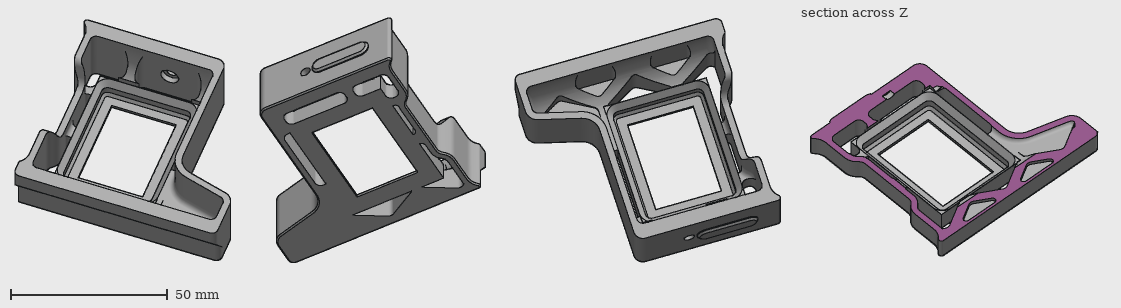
import cadquery as cq
import math

length = 69.0
height = 20.0
back_face = 65.95

end_wall = 5.05
side_wall = 2.3
left_face = 2.0
right_face = 48.2
inner_left = left_face + side_wall
inner_right = right_face - side_wall
inner_far_right = length - side_wall
inner_back = back_face - end_wall
corner_radius = 2.0
back_corner_radius = 3.05
tip_radius = 1.0
tip_blend = 5.05

step_depth = 3.05
step_middle = 35.0
step_half = 13.95
step_outer_radius = 5.45
step_inner_radius = 2.6

slope_angle = math.radians(15)
slope_start = 21.5
slope_inside_radius = 6.0
slope_corner_radius = 4.0

ledge_depth = 3.9
overhang_top = 14.7
overhang_bottom = 9.0
base_chamfer = 0.5

floor_top = 6.5
floor_fillet = 2.0
cove_radius = 11.25
frame_left = 8.75
frame_right = 43.05
frame_front = 13.3
frame_back = 55.95
frame_rim = 0.1
frame_corner = 4.0
upper_bevel = 2.0
lower_bevel = 1.0
frame_base = 1.05
window_length = 21.95
window_width = 30.65

rib_width = 3.05
rib_first = 18.5
rib_pitch = 25.0
rib_places = (rib_first, rib_first + rib_pitch)
left_ribs = ((29.5, 34.0), (47.75, 50.65))
opening_fillet = 2.0
narrow_fillet = 1.3
right_opening_front = 28.85
right_opening_back = 53.1
truss_valley = 7.05
truss_angle = math.radians(30)
truss_pocket_peak = 10.4
truss_pocket_end = 1.0

dip_depth = 8.0
dip_flat_half = 7.7
dip_angle = math.radians(65)
dip_top_radius = 3.05
dip_bottom_radius = 5.0

pad_length = 20.35
pad_height = 6.0
pad_middle = 17.95
pad_depth = 1.05
pad_chamfer = 0.7
hole_across = 30.65
hole_diameter = 3.4
counterbore_diameter = 6.0
counterbore_depth = 2.0

same_point = 0.01


def rounded_outline(corners, plane="XY"):
    """Closed wire through (x, y, radius) corners, each rounded by its radius."""
    stretches = []
    for i, (x, y, radius) in enumerate(corners):
        here = cq.Vector(x, y)
        to_last = (cq.Vector(*corners[i - 1][:2]) - here).normalized()
        to_next = (cq.Vector(*corners[(i + 1) % len(corners)][:2]) - here).normalized()
        half = to_last.getAngle(to_next) / 2
        tangent = radius / math.tan(half)
        bisector = (to_last + to_next).normalized()
        middle = here + bisector * (radius / math.sin(half) - radius)
        stretches.append((here + to_last * tangent, middle, here + to_next * tangent))
    last = stretches[-1][2]
    path = cq.Workplane(plane).moveTo(last.x, last.y)
    for start, middle, end in stretches:
        if (start - last).Length > same_point:
            path = path.lineTo(start.x, start.y)
        else:
            start = last
        if (end - start).Length > same_point:
            path = path.threePointArc((middle.x, middle.y), (end.x, end.y))
        last = end
    return path.close()


def box(x0, x1, y0, y1, z0, z1):
    return cq.Workplane("XY").box(x1 - x0, y1 - y0, z1 - z0, centered=False).translate((x0, y0, z0))


def slope_y(x):
    return slope_start - (x - right_face) * math.tan(slope_angle)


def blend_angle(offset, first_radius, second_radius):
    """Turn of two tangent arcs that join parallel lines the given offset apart."""
    return math.acos(1 - offset / (first_radius + second_radius))


def step_corners(offset):
    """Left wall step from back to front, moved inward by offset."""
    angle = blend_angle(step_depth, step_outer_radius, step_inner_radius)
    ends = step_half + offset * math.tan(angle / 2)
    inner = ends - step_depth / math.tan(angle)
    return [
        (left_face + offset, step_middle + ends, step_outer_radius - offset),
        (left_face + step_depth + offset, step_middle + inner, step_inner_radius + offset),
        (left_face + step_depth + offset, step_middle - inner, step_inner_radius + offset),
        (left_face + offset, step_middle - ends, step_outer_radius - offset),
    ]


def outer_outline(front, front_left_radius):
    angle = blend_angle(left_face, tip_radius, tip_blend)
    tip_height = tip_radius * math.tan(angle / 2)
    blend_height = left_face / math.tan(angle)
    front_tip = end_wall + tip_height
    back_tip = back_face - tip_radius - tip_height
    return rounded_outline(
        [
            (0, front, front_left_radius),
            (length, front, corner_radius),
            (length, slope_y(length), slope_corner_radius),
            (right_face, slope_start, slope_inside_radius),
            (right_face, back_face, back_corner_radius),
            (-(back_face - back_tip) * math.tan(angle), back_face, tip_radius),
            (left_face, back_tip - blend_height, tip_blend),
            *step_corners(0),
            (left_face, front_tip + blend_height, tip_blend),
            (0, front_tip, tip_radius),
        ]
    )


def inner_outline():
    slope_shift = side_wall * math.tan(math.pi / 4 - slope_angle / 2)
    return rounded_outline(
        [
            (inner_left, end_wall, corner_radius),
            (inner_far_right, end_wall, corner_radius),
            (inner_far_right, slope_y(length) - slope_shift, corner_radius),
            (inner_right, slope_start - slope_shift, slope_inside_radius + side_wall),
            (inner_right, inner_back, corner_radius),
            (inner_left, inner_back, corner_radius),
            *step_corners(side_wall),
        ]
    )


def make_body():
    """Full block: overhanging upper part above a set-back base."""
    base = outer_outline(ledge_depth, tip_radius).extrude(height)
    base = base.faces("<Z").chamfer(base_chamfer)
    upper = outer_outline(0, corner_radius).extrude(height - base_chamfer)
    upper = upper.translate((0, 0, base_chamfer))
    fall = (overhang_top - overhang_bottom) / ledge_depth
    under = (
        cq.Workplane("YZ")
        .moveTo(0, 0)
        .lineTo(overhang_top / fall, 0)
        .lineTo(0, overhang_top)
        .close()
        .extrude(length)
    )
    return base.union(upper.cut(under))


def make_cove_cavity(right_end):
    """Long trough above the ribs: large coves at front and back, small fillets at both ends."""
    cove_foot = end_wall + cove_radius
    cove_top = floor_top + cove_radius
    drop = cove_radius * math.sqrt(0.5)
    trough = (
        cq.Workplane("YZ", origin=(inner_left, 0, 0))
        .moveTo(cove_foot, floor_top)
        .lineTo(inner_back - cove_radius, floor_top)
        .threePointArc((inner_back - cove_radius + drop, cove_top - drop), (inner_back, cove_top))
        .lineTo(inner_back, height)
        .lineTo(end_wall, height)
        .lineTo(end_wall, cove_top)
        .threePointArc((cove_foot - drop, cove_top - drop), (cove_foot, floor_top))
        .close()
        .extrude(right_end - inner_left)
    )
    return trough.faces("<X or >X").edges("not >Z").fillet(floor_fillet)


def make_floor_cavity():
    """Room above the flat floor, filleted along the foot of the walls."""
    room = inner_outline().extrude(height - floor_top).translate((0, 0, floor_top))
    return room.faces("<Z").edges().fillet(floor_fillet)


def truss_peak(peak_x):
    """Corners of one peak of the truss, where a rib runs on to the frame."""
    half = rib_width / 2
    foot = truss_valley + (rib_pitch / 2 - half) * math.tan(truss_angle)
    tip = end_wall + cove_radius
    return [
        (peak_x - half, foot, opening_fillet),
        (peak_x - half, tip, 0),
        (peak_x + half, tip, 0),
        (peak_x + half, foot, opening_fillet),
    ]


def truss_plan():
    """Zigzag edge of the truss: peaks at the ribs and rounded valleys between them."""
    corners = []
    for i in range(-1, len(rib_places) + 1):
        peak_x = rib_first + i * rib_pitch
        corners += truss_peak(peak_x)
        corners.append((peak_x + rib_pitch / 2, truss_valley, opening_fillet))
    corners.pop()
    corners[-1] = (corners[-2][0], 0, 0)
    corners[0] = (corners[1][0], 0, 0)
    return rounded_outline(corners).extrude(height)


def truss_pocket(peak_x):
    """Triangular pocket inside one peak of the truss, down to the floor."""
    half = (truss_pocket_peak - end_wall) / math.tan(truss_angle)
    outline = rounded_outline(
        [
            (peak_x - half, end_wall, truss_pocket_end),
            (peak_x + half, end_wall, truss_pocket_end),
            (peak_x, truss_pocket_peak, opening_fillet),
        ]
    )
    return outline.extrude(height - floor_top).translate((0, 0, floor_top))


def make_front_truss():
    truss = truss_plan().intersect(inner_prism).cut(frame_block)
    return truss.cut(make_cove_cavity(inner_far_right))


def make_back_coves():
    """Cove along the back wall, which the openings divide into a rib and a corner gusset."""
    strip = box(frame_left, right_face, right_opening_back, back_face, 0, height)
    strip = strip.intersect(inner_prism).cut(frame_block)
    return strip.cut(make_cove_cavity(inner_right))


def round_corners(opening, radius, corners):
    """Fillet the upright edges of an opening that stand nearest to the given corners."""
    for x, y in corners:
        edge = cq.selectors.NearestToPointSelector((x, y, height / 2))
        opening = opening.edges("|Z").edges(edge).fillet(radius)
    return opening


def rounded_opening(x0, x1, y0, y1):
    return box(x0, x1, y0, y1, 0, height).edges("|Z").fillet(opening_fillet)


def make_openings():
    """Openings through the floor around the frame."""
    half = rib_width / 2
    first, second = rib_places
    front_rib, back_rib = left_ribs

    back_middle = rounded_opening(first + half, second - half, frame_back, inner_back)

    back_left = rounded_opening(inner_left, first - half, back_rib[1], inner_back).cut(frame_block)
    frame_ends = [(first - half, frame_back), (frame_left, back_rib[1])]
    back_left = round_corners(back_left, opening_fillet, frame_ends)

    front_left = inner_prism.intersect(box(0, second - half, 0, back_rib[0], 0, height))
    front_left = front_left.cut(frame_block).cut(truss_plan())
    front_left = front_left.cut(box(0, frame_left, front_rib[0], front_rib[1], 0, height))
    wall_ends = [(inner_left + step_depth, y) for y in (*front_rib, back_rib[0])]
    front_left = round_corners(front_left, narrow_fillet, wall_ends)

    right_ends = (right_opening_front, right_opening_back)
    right = box(frame_right, inner_right, *right_ends, 0, height)
    right = round_corners(right, opening_fillet, [(inner_right, y) for y in right_ends])
    return [back_middle, back_left, front_left, right]


def rounded_box(inset, corner, bottom, top, bevel):
    """Box inside the frame, with rounded upright edges and a bevelled foot."""
    block = box(
        frame_left + inset, frame_right - inset, frame_front + inset, frame_back - inset, bottom, top
    )
    return block.edges("|Z").fillet(corner).faces("<Z").chamfer(bevel)


def make_frame_recess():
    """Stepped recess with 45 degree bevels, and the window through its bottom."""
    step = floor_top - upper_bevel
    upper = rounded_box(frame_rim, frame_corner, step, floor_top + upper_bevel, upper_bevel)
    lower = rounded_box(frame_rim + upper_bevel, frame_corner - upper_bevel, frame_base, step, lower_bevel)
    window = cq.Workplane("XY").rect(window_length, window_width).extrude(floor_top)
    window = window.translate(((frame_left + frame_right) / 2, (frame_front + frame_back) / 2, 0))
    return upper.union(lower).union(window)


def make_wall_dip():
    """Dip that lowers the middle of the left wall."""
    bottom = height - dip_depth
    bottom_half = dip_flat_half + dip_bottom_radius * math.tan(dip_angle / 2)
    top_half = bottom_half + dip_depth / math.tan(dip_angle)
    end_half = top_half + 2 * dip_top_radius
    right_side = [
        (bottom_half, bottom, dip_bottom_radius),
        (top_half, height, dip_top_radius),
        (end_half, height, 0),
        (end_half, 2 * height, 0),
    ]
    left_side = [(-y, z, radius) for y, z, radius in reversed(right_side)]
    dip = rounded_outline(right_side + left_side, "YZ").extrude(frame_left)
    return dip.translate((0, step_middle, 0))


def make_pad():
    pad = cq.Workplane("XZ").slot2D(pad_length, pad_height).extrude(-pad_depth)
    return pad.faces(">Y").chamfer(pad_chamfer).translate((pad_middle, back_face, height / 2))


def make_screw_hole():
    inside = cq.Workplane("XZ", origin=(hole_across, inner_back, height / 2))
    hole = inside.circle(hole_diameter / 2).extrude(-end_wall)
    return hole.union(inside.circle(counterbore_diameter / 2).extrude(-counterbore_depth))


inner_prism = inner_outline().extrude(height)
frame_block = box(frame_left, frame_right, frame_front, frame_back, 0, height)

result = make_body().cut(make_floor_cavity())
result = result.union(make_front_truss()).union(make_back_coves())
for opening in make_openings():
    result = result.cut(opening)
for peak in rib_places:
    result = result.cut(truss_pocket(peak))
result = result.cut(make_frame_recess()).cut(make_wall_dip())
result = result.union(make_pad()).cut(make_screw_hole())